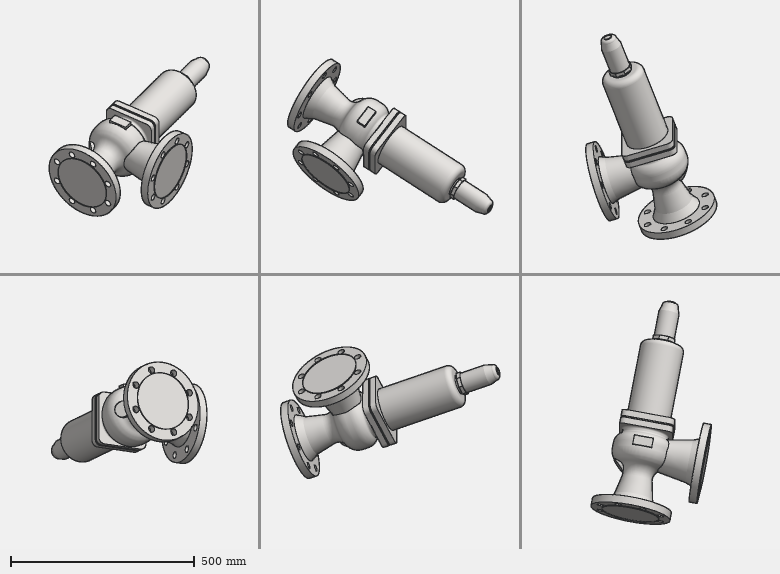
import cadquery as cq
import math


length = 603.0
outlet_face_x = 175.0
outlet_y = 175.0

flange_dia = 220.0
flange_thick = 21.5
raised_face_dia = 158.5
raised_face_height = 2.5
bolt_circle_dia = 180.0
bolt_hole_dia = 18.0
bolt_count = 8
hub_base_radius = 67.0
flange_back = raised_face_height + flange_thick

inlet_hub_end_y = 47.0
inlet_hub_end_radius = 53.5
neck_y = 100.0
neck_radius = 42.0

bowl_radius = 82.5
bowl_lower_y = 171.0
bowl_upper_y = 188.0
bowl_lower_arc = 39.0
bowl_upper_arc = 33.0
collar_radius = 63.0
collar_bottom_y = 222.0
collar_top_fillet = 5.0

outlet_hub_end_x = 132.5
outlet_hub_end_radius = 59.5
outlet_root_x = 30.0
outlet_root_radius = 41.0

square_side = 147.0
square_corner = 17.0
square_bottom_y = 231.0
square_thick = 17.5
gasket_thick = 3.5
gasket_inset = 2.0

bonnet_dia = 120.0
bonnet_top_y = 484.5
bonnet_round = 16.0

cap_seat_radius = 27.0
nut_bottom_y = 490.0
nut_top_y = 501.0
nut_across_flats = 60.0
nut_sides = 8
cap_radius = 28.5
cap_cone_y = 571.5
cap_round_y = 591.0
cap_round_radius = 22.0
cap_round = 8.5
cap_button_radius = 11.0
cap_button_height = 2.5

drain_pad_dia = 45.0
drain_pad_x = -56.5
drain_pad_y = 126.5
drain_pad_depth = 42.0
plate_length = 53.0
plate_width = 26.0
plate_y = 188.5
plate_top_z = 87.0
plate_depth = 18.0


def cylinder_y(radius, bottom, top):
    """Round bar on the inlet axis between two Y positions."""
    return cq.Workplane("XZ", origin=(0, bottom, 0)).circle(radius).extrude(bottom - top)


def revolve_y(profile):
    """Turn a closed profile of (radius, Y) about the inlet axis."""
    return profile.close().revolve(360, (0, 0, 0), (0, 1, 0))


def connection_flange():
    """Drilled flange with its raised face at Z = 0 and its back towards +Z."""
    disc = (
        cq.Workplane("XY", origin=(0, 0, raised_face_height))
        .circle(flange_dia / 2)
        .extrude(flange_thick)
        .faces(">Z")
        .workplane()
        .polarArray(bolt_circle_dia / 2, 180 / bolt_count, 360, bolt_count)
        .hole(bolt_hole_dia)
    )
    return disc.union(cq.Workplane("XY").circle(raised_face_dia / 2).extrude(flange_back))


def arc_point(centre, radius, angle):
    """Point at an angle, counted from the outward radial direction towards +Y."""
    return centre[0] + radius * math.cos(angle), centre[1] + radius * math.sin(angle)


def inlet_and_bowl():
    """Hub, neck, bowl and collar, joined by tangent arcs. All points are (radius, Y)."""
    lower = (bowl_radius - bowl_lower_arc, bowl_lower_y)
    taper = math.atan2(inlet_hub_end_radius - neck_radius, neck_y - inlet_hub_end_y)
    span = lower[1] - neck_y
    offset = lower[0] - neck_radius
    waist_arc = (span**2 + offset**2 - bowl_lower_arc**2) / (
        2 * (bowl_lower_arc + span * math.sin(taper) + offset * math.cos(taper))
    )
    waist = arc_point((neck_radius, neck_y), waist_arc, taper)
    waist_end = math.atan2(lower[1] - waist[1], lower[0] - waist[0])
    waist_start = taper + math.pi
    lower_start = waist_end - math.pi

    upper = (bowl_radius - bowl_upper_arc, bowl_upper_y)
    drop = collar_bottom_y - upper[1]
    reach = collar_radius - upper[0]
    collar_arc = (drop**2 + reach**2 - bowl_upper_arc**2) / (2 * (bowl_upper_arc - reach))
    blend = (collar_radius + collar_arc, collar_bottom_y)
    upper_end = math.atan2(blend[1] - upper[1], blend[0] - upper[0])
    blend_start = upper_end + math.pi

    fillet = (collar_radius + collar_top_fillet, square_bottom_y - collar_top_fillet)

    profile = (
        cq.Workplane("XY")
        .moveTo(0, raised_face_height)
        .lineTo(hub_base_radius, raised_face_height)
        .lineTo(hub_base_radius, flange_back)
        .lineTo(inlet_hub_end_radius, inlet_hub_end_y)
        .lineTo(neck_radius, neck_y)
        .threePointArc(
            arc_point(waist, waist_arc, (waist_start + waist_end) / 2),
            arc_point(waist, waist_arc, waist_end),
        )
        .threePointArc(
            arc_point(lower, bowl_lower_arc, lower_start / 2),
            arc_point(lower, bowl_lower_arc, 0),
        )
        .lineTo(bowl_radius, bowl_upper_y)
        .threePointArc(
            arc_point(upper, bowl_upper_arc, upper_end / 2),
            arc_point(upper, bowl_upper_arc, upper_end),
        )
        .threePointArc(
            arc_point(blend, collar_arc, (blend_start + math.pi) / 2),
            arc_point(blend, collar_arc, math.pi),
        )
        .lineTo(collar_radius, fillet[1])
        .threePointArc(
            arc_point(fillet, collar_top_fillet, 3 * math.pi / 4),
            arc_point(fillet, collar_top_fillet, math.pi / 2),
        )
        .lineTo(0, square_bottom_y)
    )
    return revolve_y(profile)


def outlet_neck():
    """Tapered branch from the bowl to the outlet flange."""
    back_x = outlet_face_x - flange_back
    return (
        cq.Workplane("XY")
        .moveTo(outlet_root_x, outlet_y)
        .lineTo(outlet_root_x, outlet_y + outlet_root_radius)
        .lineTo(outlet_hub_end_x, outlet_y + outlet_hub_end_radius)
        .lineTo(back_x, outlet_y + hub_base_radius)
        .lineTo(back_x, outlet_y)
        .close()
        .revolve(360, (0, outlet_y, 0), (1, outlet_y, 0))
    )


def square_plate(bottom, thick, inset=0.0):
    """Square plate with rounded corners, lying across the inlet axis."""
    side = square_side - 2 * inset
    plate = cq.Workplane("XZ", origin=(0, bottom, 0)).rect(side, side).extrude(-thick)
    return plate.edges("|Y").fillet(square_corner - inset)


def body_joint():
    """Two square flanges clamping a gasket."""
    gasket_y = square_bottom_y + square_thick
    upper_y = gasket_y + gasket_thick
    return (
        square_plate(square_bottom_y, square_thick)
        .union(square_plate(gasket_y, gasket_thick, gasket_inset))
        .union(square_plate(upper_y, square_thick))
    )


def bonnet():
    """Spring housing with a rounded top edge."""
    joint_top_y = square_bottom_y + 2 * square_thick + gasket_thick
    return cylinder_y(bonnet_dia / 2, joint_top_y, bonnet_top_y).faces(">Y").edges().fillet(bonnet_round)


def cap():
    """Seat, octagonal nut and tapered cap with a small button on top."""
    seat = cylinder_y(cap_seat_radius, bonnet_top_y, nut_bottom_y)
    nut = (
        cq.Workplane("XZ", origin=(0, nut_bottom_y, 0))
        .polygon(nut_sides, nut_across_flats, circumscribed=True)
        .extrude(nut_bottom_y - nut_top_y)
    )
    crown_y = length - cap_button_height
    crown_radius = cap_round_radius - cap_round
    diagonal = math.sqrt(0.5)
    arc_middle = (
        crown_radius + cap_round * diagonal,
        cap_round_y + (crown_y - cap_round_y) * diagonal,
    )
    hood = revolve_y(
        cq.Workplane("XY")
        .moveTo(0, nut_top_y)
        .lineTo(cap_radius, nut_top_y)
        .lineTo(cap_radius, cap_cone_y)
        .lineTo(cap_round_radius, cap_round_y)
        .threePointArc(arc_middle, (crown_radius, crown_y))
        .lineTo(cap_button_radius, crown_y)
        .lineTo(cap_button_radius, length)
        .lineTo(0, length)
    )
    return seat.union(nut).union(hood)


def drain_pad():
    """Round boss on the bowl, facing halfway between -X and -Y."""
    face = cq.Plane(origin=(drain_pad_x, drain_pad_y, 0), xDir=(0, 0, 1), normal=(-1, -1, 0))
    return cq.Workplane(face).circle(drain_pad_dia / 2).extrude(-drain_pad_depth)


def name_plate():
    """Flat rectangular pad on the +Z side of the bowl."""
    return (
        cq.Workplane("XY", origin=(0, plate_y, plate_top_z))
        .rect(plate_length, plate_width)
        .extrude(-plate_depth)
    )


inlet_flange = connection_flange().rotate((0, 0, 0), (1, 0, 0), -90)
outlet_flange = connection_flange().rotate((0, 0, 0), (0, 1, 0), -90).translate((outlet_face_x, outlet_y, 0))

result = (
    inlet_and_bowl()
    .union(outlet_neck())
    .union(drain_pad())
    .union(name_plate())
    .union(inlet_flange)
    .union(outlet_flange)
    .union(body_joint())
    .union(bonnet())
    .union(cap())
)